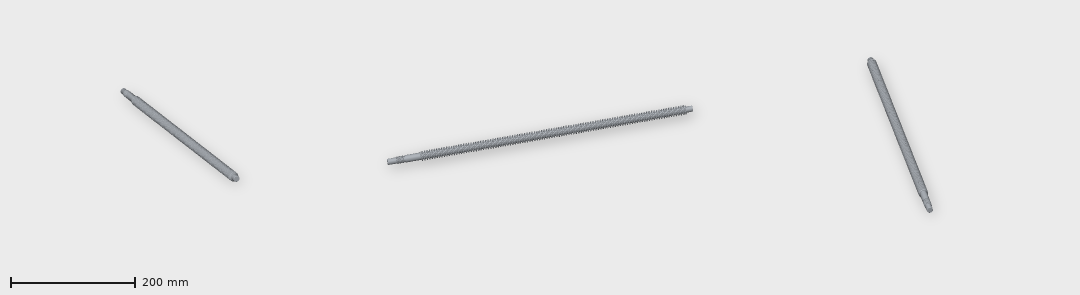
import cadquery as cq
import math

NUT_THREAD_START = 14.0
NUT_THREAD_END = 27.0
BEARING_START = 29.0
SCREW_START = 54.0
SCREW_END = 490.0
TOTAL_LENGTH = 500.0

JOURNAL_DIAMETER = 10.0
UNDERCUT_DIAMETER = 9.6
BEARING_DIAMETER = 12.0
END_CHAMFER = 0.5

RING_GROOVE_DIAMETER = 9.6
RING_GROOVE_START = 497.0
RING_GROOVE_WIDTH = 1.1

SCREW_MAJOR_DIAMETER = 15.87
SCREW_MINOR_DIAMETER = 11.29
SCREW_PITCH = 4.0
SCREW_FLANK_ANGLE = 15.0
SCREW_START_ANGLE = 77.0
SCREW_LEFT_CHAMFER = 1.0
SCREW_RIGHT_CHAMFER = 2.0

NUT_MAJOR_DIAMETER = 11.88
NUT_MINOR_DIAMETER = 10.74
NUT_PITCH = 1.0
NUT_FLANK_ANGLE = 30.0
NUT_START_ANGLE = 0.0

MAX_TURNS_PER_SEGMENT = 5
CUTTER_MARGIN = 1.0
FLANK_STEPS = 4


def shaft(diameter, start, end):
    """Plain cylinder on the X axis between two stations."""
    return cq.Workplane("YZ", origin=(start, 0, 0)).circle(diameter / 2).extrude(end - start)


def polar_point(radius, angle):
    """Cartesian point at a radius and an angle in degrees."""
    return (radius * math.cos(math.radians(angle)), radius * math.sin(math.radians(angle)))


def thread_section(major, minor, pitch, flank_angle):
    """Section of a single-start thread square to its axis: crest arc, root arc and two flank spirals."""
    crest_radius = major / 2
    root_radius = minor / 2
    half_depth = (crest_radius - root_radius) / 2
    flank_half_advance = half_depth * math.tan(math.radians(flank_angle))
    crest_angle = 360 * (pitch / 4 - flank_half_advance) / pitch
    root_angle = 360 * (pitch / 4 + flank_half_advance) / pitch

    rising_flank = []
    falling_flank = []
    for step in range(FLANK_STEPS + 1):
        fraction = step / FLANK_STEPS
        radius = crest_radius + (root_radius - crest_radius) * fraction
        angle = crest_angle + (root_angle - crest_angle) * fraction
        falling_flank.append(polar_point(radius, angle))
        rising_flank.insert(0, polar_point(radius, -angle))

    return (
        cq.Workplane("XY")
        .moveTo(*rising_flank[-1])
        .threePointArc((crest_radius, 0), falling_flank[0])
        .spline(falling_flank[1:], includeCurrent=True)
        .threePointArc((-root_radius, 0), rising_flank[0])
        .spline(rising_flank[1:], includeCurrent=True)
        .close()
    )


def thread(major, minor, pitch, flank_angle, start, end, start_angle):
    """Right-hand thread on the X axis, closed from the walls of stacked equal segments."""
    length = end - start
    segment_count = math.ceil(length / (pitch * MAX_TURNS_PER_SEGMENT))
    segment_length = length / segment_count
    segment_twist = 360 * segment_length / pitch
    section = thread_section(major, minor, pitch, flank_angle)
    segment = section.twistExtrude(segment_length, segment_twist)
    walls = []
    for index in range(segment_count):
        turned = segment.rotate((0, 0, 0), (0, 0, 1), index * segment_twist)
        walls += turned.translate((0, 0, index * segment_length)).faces("not(<Z or >Z)").vals()
    bottom_cap = segment.faces("<Z").val()
    top_cap = turned.translate((0, 0, length - segment_length)).faces(">Z").val()
    shell = cq.Shell.makeShell([bottom_cap, *walls, top_cap])
    solid_thread = cq.Workplane("XY").newObject([cq.Solid.makeSolid(shell)])
    return (
        solid_thread.rotate((0, 0, 0), (0, 0, 1), start_angle)
        .rotate((0, 0, 0), (0, 1, 0), 90)
        .translate((start, 0, 0))
    )


def screw_chamfer_cutter(station, chamfer, inward):
    """Ring that bevels one end of the lead screw; inward is +1 or -1 along X, into the screw."""
    crest_radius = SCREW_MAJOR_DIAMETER / 2
    cutter_radius = crest_radius + CUTTER_MARGIN
    cutter_length = chamfer + CUTTER_MARGIN
    return (
        cq.Workplane("XY")
        .polyline([
            (station, crest_radius - chamfer),
            (station, cutter_radius),
            (station + inward * cutter_length, cutter_radius),
        ])
        .close()
        .revolve(360, (0, 0, 0), (1, 0, 0))
    )


def right_journal():
    """Plain journal with a chamfered end and a retaining-ring groove."""
    ring_groove_end = RING_GROOVE_START + RING_GROOVE_WIDTH
    inner = shaft(JOURNAL_DIAMETER, SCREW_END, RING_GROOVE_START)
    groove_floor = shaft(RING_GROOVE_DIAMETER, RING_GROOVE_START, ring_groove_end)
    outer = shaft(JOURNAL_DIAMETER, ring_groove_end, TOTAL_LENGTH).faces(">X").chamfer(END_CHAMFER)
    return inner.union(groove_floor).union(outer)


left_journal = shaft(JOURNAL_DIAMETER, 0, NUT_THREAD_START).faces("<X").chamfer(END_CHAMFER)
nut_thread = thread(
    NUT_MAJOR_DIAMETER, NUT_MINOR_DIAMETER, NUT_PITCH, NUT_FLANK_ANGLE,
    NUT_THREAD_START, NUT_THREAD_END, NUT_START_ANGLE,
)
undercut = shaft(UNDERCUT_DIAMETER, NUT_THREAD_END, BEARING_START)
bearing_seat = shaft(BEARING_DIAMETER, BEARING_START, SCREW_START)
screw_thread = thread(
    SCREW_MAJOR_DIAMETER, SCREW_MINOR_DIAMETER, SCREW_PITCH, SCREW_FLANK_ANGLE,
    SCREW_START, SCREW_END, SCREW_START_ANGLE,
)

screw_thread = screw_thread.cut(screw_chamfer_cutter(SCREW_START, SCREW_LEFT_CHAMFER, 1), clean=False)
screw_thread = screw_thread.cut(screw_chamfer_cutter(SCREW_END, SCREW_RIGHT_CHAMFER, -1), clean=False)

result = left_journal
for portion in (nut_thread, undercut, bearing_seat, screw_thread, right_journal()):
    result = result.union(portion, clean=False)